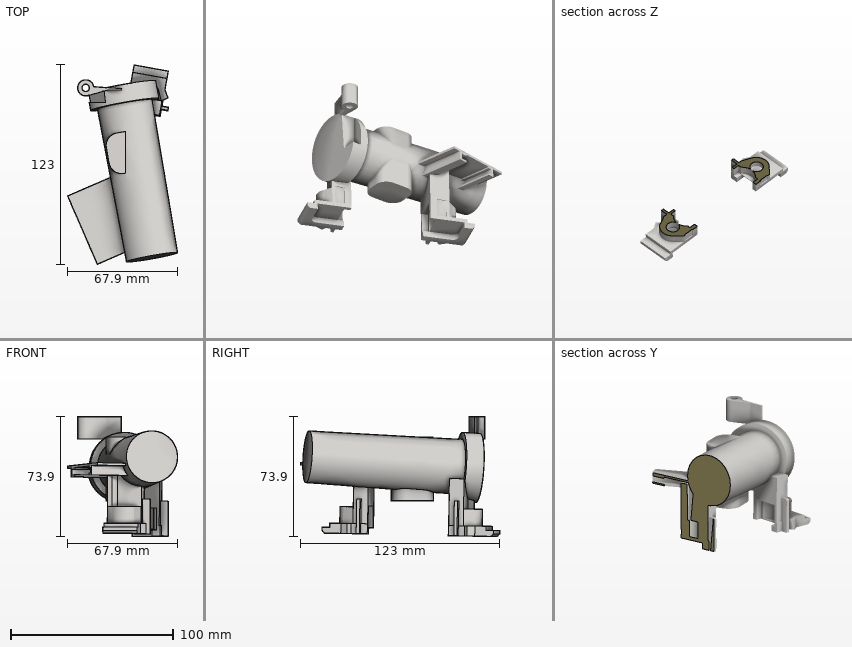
import cadquery as cq
import math

FLANGE_FRONT = cq.Vector(1.25, 37.2, 6.0)
BARREL_END = cq.Vector(18.1, -57.0, 12.25)
BARREL_REAR_RADIUS = 17.1
BARREL_END_RADIUS = 16.05
FLANGE_RADIUS = 21.4
FLANGE_THICKNESS = 11.0
BARREL_YAW = 10.0

NOTCH_WALL_X = -10.6
NOTCH_WALL_LEAN = 1.6
NOTCH_FRONT_Y = 38.4
NOTCH_DEPTH = 14.0
NOTCH_REACH = 20.0
NOTCH_FLOOR_Z = -0.15

PIVOT_X = -22.8
PIVOT_Y = 47.4
PIVOT_RADIUS = 5.0
PIVOT_BORE_RADIUS = 2.2
LEVER_BOTTOM_Z = 23.15
LEVER_TOP_Z = 36.97
ARM_TIP_X = -0.85
ARM_BEND_X = -9.4
ARM_FRONT_Y = 46.0
ARM_TIP_THICKNESS = 0.9
ARM_ROOT_X = -17.8
ARM_ROOT_Y = 48.2
ARM_TANGENT_X = -21.3

BOSS_X = 1.65
BOSS_Y = 7.65
BOSS_WIDTH = 22.0
BOSS_LENGTH = 25.3
BOSS_CORNER_RADIUS = 7.7
BOSS_BOTTOM_Z = -15.0
BOSS_TOP_Z = 24.35
BOSS_TOP_RIGHT_X = 1.6
BOSS_STEP_Z = 8.0

PLATE_CORNER = (-33.95, -19.2, 6.6)
PLATE_WIDTH = 32.0
PLATE_LENGTH = 46.0
PLATE_THICKNESS = 1.5
PLATE_YAW = 23.4
PLATE_PITCH = -2.5
PLATE_ROLL = 0.9
RAIL_LENGTH = 30.0
RAIL_HEIGHT = 5.6
RAIL_WEB = 1.8
RAIL_UPPER_LIP = 0.9
RAIL_LOWER_LIP = 1.2
REAR_RAIL_START = 5.2
REAR_RAIL_DEPTH = 6.2
FRONT_RAIL_END = 37.2
FRONT_RAIL_DEPTH = 4.2

FOOT_WIDTH = 21.5
FOOT_DEPTH = 28.4
FOOT_BOTTOM_Z = -6.3
BASE_THICKNESS = 2.5
LIP_STEP = 4.7
LIP_DEPTH = 6.6
LIP_CHAMFER = 1.7
FLARE_START = 11.8
FLARE_PEAK = 16.2
FLARE_END = 18.2
FLARE_WIDTH = 2.7
HEEL_X = 16.5
HEEL_FILLET = 4.0
COLUMN_FRONT = 16.1
COLUMN_WIDTH = 20.9
COLUMN_SIDE_WALL = 2.8
COLUMN_RECESS = 3.1
CUP_RADIUS = 8.5
CUP_CENTRE_Y = 17.7
CUP_HEIGHT = 10.4
CUP_RIGHT_INSET = 0.4
CUP_TANGENT_X = 6.8
CUP_BORE_RADIUS = 4.0
CUP_BORE_OFFSET = 0.3
CUP_BORE_Y = 17.2
POCKET_RADIUS = 8.0
POCKET_CENTRE_Y = 29.6
POCKET_BOTTOM_Z = -2.0
POCKET_TOP_Z = 10.9
BACK_SLOT_WIDTH = 16.3
BACK_SLOT_DEPTH = 4.0
PANEL_INSET = 1.9
PANEL_WIDTH = 6.2
PANEL_HEIGHT = 11.5
PANEL_DEPTH = 0.5
FIN_Y = 22.2
FIN_THICKNESS = 2.0
FIN_REACH = 4.1
FIN_TOP_Z = 15.3
FIN_ROUND = 1.0

FOOT_YAW = -10.3
FOOT_PITCH = -1.0
REAR_FOOT_CORNER = (7.05, 61.63, -30.7)
REAR_COLUMN_HEIGHT = 29.0
FRONT_FOOT_CORNER = (-12.4, -44.2, -28.6)
FRONT_COLUMN_HEIGHT = 33.5


def block(x0, x1, y0, y1, z0, z1):
    """Box between two opposite corners."""
    return cq.Workplane("XY").box(x1 - x0, y1 - y0, z1 - z0, centered=False).translate((x0, y0, z0))


def prism(points, z0, z1):
    """Upright prism on a closed plan outline."""
    return cq.Workplane("XY", origin=(0, 0, z0)).polyline(points).close().extrude(z1 - z0)


def cylinder(x, y, radius, z0, z1):
    """Upright cylinder."""
    return cq.Workplane("XY", origin=(x, y, z0)).circle(radius).extrude(z1 - z0)


def make_barrel():
    forward = BARREL_END - FLANGE_FRONT
    tube = cq.Solid.makeCone(
        BARREL_REAR_RADIUS, BARREL_END_RADIUS, forward.Length, FLANGE_FRONT, forward
    )
    flange = cq.Solid.makeCylinder(FLANGE_RADIUS, FLANGE_THICKNESS, FLANGE_FRONT, forward * -1)
    notch = prism(
        [
            (NOTCH_WALL_X, NOTCH_FRONT_Y),
            (NOTCH_WALL_X - NOTCH_WALL_LEAN, NOTCH_FRONT_Y + NOTCH_DEPTH),
            (NOTCH_WALL_X - NOTCH_REACH, NOTCH_FRONT_Y + NOTCH_DEPTH),
            (NOTCH_WALL_X - NOTCH_REACH, NOTCH_FRONT_Y),
        ],
        NOTCH_FLOOR_Z,
        LEVER_TOP_Z,
    )
    return cq.Workplane(flange).cut(notch).union(cq.Workplane(tube))


def make_lever():
    tangent_drop = math.sqrt(PIVOT_RADIUS**2 - (ARM_TANGENT_X - PIVOT_X) ** 2)
    arm = prism(
        [
            (PIVOT_X, PIVOT_Y),
            (ARM_TANGENT_X, PIVOT_Y - tangent_drop),
            (ARM_BEND_X, ARM_FRONT_Y),
            (ARM_TIP_X, ARM_FRONT_Y),
            (ARM_TIP_X, ARM_FRONT_Y + ARM_TIP_THICKNESS),
            (ARM_ROOT_X, ARM_ROOT_Y),
        ],
        LEVER_BOTTOM_Z,
        LEVER_TOP_Z,
    )
    pivot = cylinder(PIVOT_X, PIVOT_Y, PIVOT_RADIUS, LEVER_BOTTOM_Z, LEVER_TOP_Z)
    bore = cylinder(PIVOT_X, PIVOT_Y, PIVOT_BORE_RADIUS, LEVER_BOTTOM_Z, LEVER_TOP_Z)
    return arm.union(pivot).cut(bore)


def make_boss():
    """Upright boss; above the barrel axis only its left part remains."""
    boss = (
        cq.Workplane("XY")
        .rect(BOSS_WIDTH, BOSS_LENGTH)
        .extrude(BOSS_TOP_Z - BOSS_BOTTOM_Z)
        .edges("|Z")
        .fillet(BOSS_CORNER_RADIUS)
        .rotate((0, 0, 0), (0, 0, 1), BARREL_YAW)
        .translate((BOSS_X, BOSS_Y, BOSS_BOTTOM_Z))
    )
    top_right = block(
        BOSS_TOP_RIGHT_X,
        BOSS_X + BOSS_WIDTH,
        BOSS_Y - BOSS_LENGTH,
        BOSS_Y + BOSS_LENGTH,
        BOSS_STEP_Z,
        BOSS_TOP_Z,
    )
    return boss.cut(top_right)


def make_rail(outer_y, inner_y):
    """C-shaped rail under the plate; its web is at outer_y and its lips reach to inner_y."""
    top = -PLATE_THICKNESS
    bottom = top - RAIL_HEIGHT
    web_y = outer_y + math.copysign(RAIL_WEB, inner_y - outer_y)
    return (
        cq.Workplane("YZ")
        .polyline(
            [
                (outer_y, top),
                (inner_y, top),
                (inner_y, top - RAIL_UPPER_LIP),
                (web_y, top - RAIL_UPPER_LIP),
                (web_y, bottom + RAIL_LOWER_LIP),
                (inner_y, bottom + RAIL_LOWER_LIP),
                (inner_y, bottom),
                (outer_y, bottom),
            ]
        )
        .close()
        .extrude(RAIL_LENGTH)
    )


def make_side_plate():
    plate = block(0, PLATE_WIDTH, -PLATE_LENGTH, 0, -PLATE_THICKNESS, 0)
    rear_rail = make_rail(-REAR_RAIL_START, -REAR_RAIL_START - REAR_RAIL_DEPTH)
    front_rail = make_rail(-FRONT_RAIL_END, -FRONT_RAIL_END + FRONT_RAIL_DEPTH)
    return (
        plate.union(rear_rail)
        .union(front_rail)
        .rotate((0, 0, 0), (1, 0, 0), PLATE_PITCH)
        .rotate((0, 0, 0), (0, 1, 0), PLATE_ROLL)
        .rotate((0, 0, 0), (0, 0, 1), PLATE_YAW)
        .translate(PLATE_CORNER)
    )


def make_foot_base():
    lip = (
        cq.Workplane("YZ")
        .polyline(
            [
                (LIP_CHAMFER, FOOT_BOTTOM_Z),
                (0, FOOT_BOTTOM_Z + LIP_CHAMFER),
                (0, -BASE_THICKNESS),
                (LIP_STEP, -BASE_THICKNESS),
                (LIP_STEP, 0),
                (LIP_DEPTH, 0),
                (LIP_DEPTH, FOOT_BOTTOM_Z),
            ]
        )
        .close()
        .extrude(FOOT_WIDTH)
    )
    base = block(0, FOOT_WIDTH, LIP_STEP, FOOT_DEPTH, -BASE_THICKNESS, 0)
    heel = (
        cq.Workplane("XY", origin=(0, 0, FOOT_BOTTOM_Z))
        .moveTo(FOOT_WIDTH, LIP_DEPTH)
        .lineTo(HEEL_X - HEEL_FILLET, LIP_DEPTH)
        .radiusArc((HEEL_X, LIP_DEPTH + HEEL_FILLET), -HEEL_FILLET)
        .lineTo(HEEL_X, FOOT_DEPTH)
        .lineTo(FOOT_WIDTH, FOOT_DEPTH)
        .close()
        .extrude(-FOOT_BOTTOM_Z)
    )
    flare = prism(
        [(FOOT_WIDTH, FLARE_START), (FOOT_WIDTH + FLARE_WIDTH, FLARE_PEAK), (FOOT_WIDTH, FLARE_END)],
        FOOT_BOTTOM_Z,
        0,
    )
    return base.union(lip).union(heel).union(flare)


def make_column(height):
    recess_back = COLUMN_FRONT + COLUMN_RECESS
    column = prism(
        [
            (0, COLUMN_FRONT),
            (COLUMN_SIDE_WALL, COLUMN_FRONT),
            (COLUMN_SIDE_WALL + COLUMN_RECESS, recess_back),
            (COLUMN_WIDTH, recess_back),
            (COLUMN_WIDTH, FOOT_DEPTH),
            (0, FOOT_DEPTH),
        ],
        -BASE_THICKNESS,
        height,
    )
    panel_y = COLUMN_FRONT + PANEL_INSET
    panel = block(0, PANEL_DEPTH, panel_y, panel_y + PANEL_WIDTH, 0, PANEL_HEIGHT)
    return column.cut(panel)


def make_cup():
    middle = FOOT_WIDTH / 2
    tangent_y = CUP_CENTRE_Y - math.sqrt(CUP_RADIUS**2 - CUP_TANGENT_X**2)
    return (
        cq.Workplane("XY")
        .moveTo(0, COLUMN_FRONT)
        .lineTo(middle - CUP_TANGENT_X, tangent_y)
        .threePointArc((middle, CUP_CENTRE_Y - CUP_RADIUS), (middle + CUP_TANGENT_X, tangent_y))
        .lineTo(COLUMN_WIDTH - CUP_RIGHT_INSET, COLUMN_FRONT + COLUMN_RECESS)
        .lineTo(COLUMN_SIDE_WALL, COLUMN_FRONT + COLUMN_RECESS)
        .lineTo(COLUMN_SIDE_WALL, COLUMN_FRONT)
        .close()
        .extrude(CUP_HEIGHT)
    )


def make_fin():
    return (
        block(HEEL_X, FOOT_WIDTH + FIN_REACH, FIN_Y, FIN_Y + FIN_THICKNESS, FOOT_BOTTOM_Z, FIN_TOP_Z)
        .edges("|Y and >X and >Z")
        .fillet(FIN_ROUND)
    )


def make_foot(column_height):
    """Clip foot with its lip's left end at the origin."""
    middle = FOOT_WIDTH / 2
    bore = cylinder(middle - CUP_BORE_OFFSET, CUP_BORE_Y, CUP_BORE_RADIUS, 0, CUP_HEIGHT)
    pocket = cylinder(middle, POCKET_CENTRE_Y, POCKET_RADIUS, POCKET_BOTTOM_Z, POCKET_TOP_Z)
    back_slot = block(
        COLUMN_SIDE_WALL,
        COLUMN_SIDE_WALL + BACK_SLOT_WIDTH,
        FOOT_DEPTH - BACK_SLOT_DEPTH,
        FOOT_DEPTH,
        -BASE_THICKNESS,
        POCKET_TOP_Z,
    )
    return (
        make_foot_base()
        .union(make_cup())
        .union(make_column(column_height))
        .cut(bore)
        .cut(pocket)
        .cut(back_slot)
        .union(make_fin())
    )


def place_foot(foot, corner):
    return (
        foot.rotate((0, 0, 0), (1, 0, 0), FOOT_PITCH)
        .rotate((0, 0, 0), (0, 0, 1), FOOT_YAW)
        .translate(corner)
    )


rear_foot = place_foot(make_foot(REAR_COLUMN_HEIGHT).mirror("XZ"), REAR_FOOT_CORNER)
front_foot = place_foot(make_foot(FRONT_COLUMN_HEIGHT), FRONT_FOOT_CORNER)

result = make_barrel()
for feature in (make_boss(), make_lever(), make_side_plate(), rear_foot, front_foot):
    result = result.union(feature)